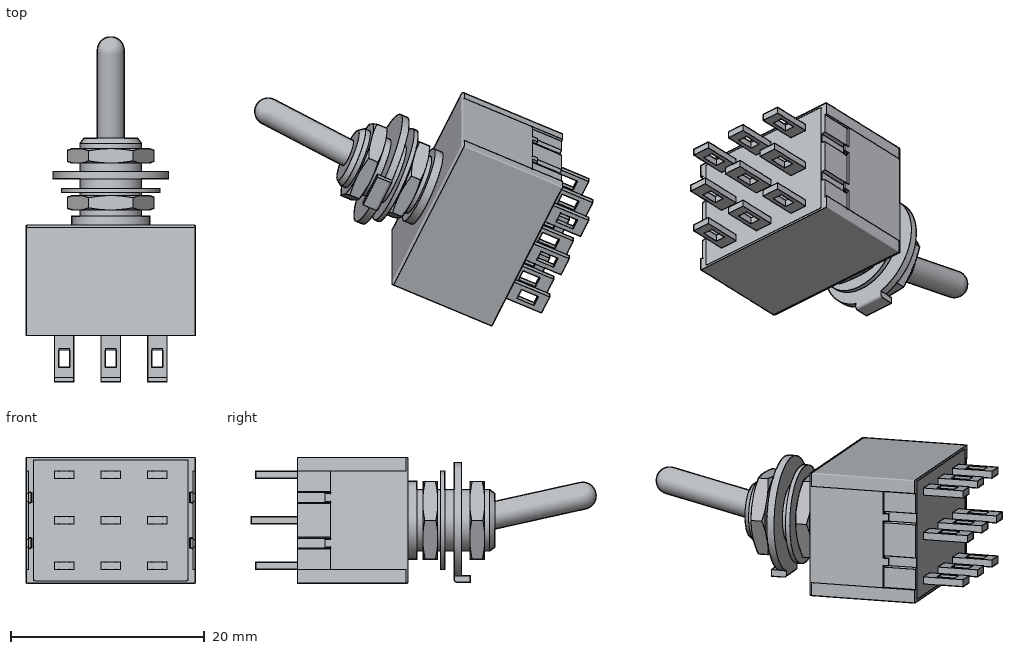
import cadquery as cq
import math


overall_y = 35.65

body_x = 17.5
body_y = 11.45
body_z = 13.0
sheet = 0.25
edge_round = 0.1
housing_y = body_y - sheet

side_wall = 0.75
base_x = body_x - 2 * side_wall
base_z = body_z - 2 * sheet
base_depth = 3.42
base_corner = 0.2
terminal_w = 2.03
terminal_t = 0.75
terminal_pitch_x = 4.8
terminal_pitch_z = 4.7
outer_terminal_len = 4.3
middle_terminal_len = 4.78
eyelet_w = 1.1
eyelet_len = 1.92
outer_eyelet_start = 1.32
middle_eyelet_start = 1.5

leg_z = 10.2
leg_end = 3.42
bend_round = 0.18
finger_w = 0.8
finger_len = 0.57
slot_mouth_w = 1.2
slot_floor_w = 1.0
slot_floor_depth = 0.65
slot_end_round = 0.25
slot_pitch_z = terminal_pitch_z

flange_d = 8.1
flange_t = 0.9
bushing_d = 6.38
bushing_end = 20.4
bushing_tip_d = 5.55
bushing_chamfer_len = 0.55

nut_flats = 8.05
nut_corners = 8.98
nut_face_w = 4.6
nut_t = 1.5
nut_chamfer_d = 8.02
nut_chamfer_angle = 20
nut_starts = (12.97, 17.82)
lock_washer_d = 10.23
lock_washer_t = 0.45
lock_washer_start = 14.75
tab_washer_d = 11.98
tab_washer_t = 0.8
tab_washer_start = 16.18
tab_w = 3.5
tab_t = 0.7
tab_len = 1.68
tab_bottom = 6.4
tab_round = 0.32

lever_d = 2.8
lever_tilt = 12.5
lever_foot_y = 18.0
lever_straight = (
    overall_y - middle_terminal_len - lever_d / 2 - lever_foot_y
) / math.cos(math.radians(lever_tilt))


def block(size_x, y_start, y_end, size_z, x=0, z=0):
    """Box between two Y stations, centred on (x, z)."""
    return (
        cq.Workplane("XY")
        .box(size_x, y_end - y_start, size_z)
        .translate((x, (y_start + y_end) / 2, z))
    )


def disc(diameter, y_start, thickness):
    """Cylinder around the bushing axis, growing toward +Y."""
    return cq.Workplane(cq.Solid.makeCylinder(
        diameter / 2, thickness, cq.Vector(0, y_start, 0), cq.Vector(0, 1, 0)
    ))


def both_sides(shape):
    """A shape on the -X side together with its mirror image on the +X side."""
    return shape.union(shape.mirror("YZ"))


def body_envelope():
    """Outer shape shared by the housing and the frame."""
    return (
        block(body_x, 0, body_y, body_z)
        .edges("|Y").fillet(edge_round)
        .edges("|Z and >Y").fillet(bend_round)
    )


def leg_zone():
    """Sheet-deep strips on both X sides, running the full length of the housing."""
    return both_sides(block(sheet, 0, body_y, leg_z, x=-(body_x - sheet) / 2))


def housing_slot(z):
    """Tapered slot on the -X side, open to the terminal end, rounded under the leg end."""
    mouth_x = sheet - body_x / 2
    floor_x = slot_floor_depth - body_x / 2
    slot = (
        cq.Workplane("XZ")
        .polyline([
            (mouth_x, z - slot_mouth_w / 2),
            (mouth_x, z + slot_mouth_w / 2),
            (floor_x, z + slot_floor_w / 2),
            (floor_x, z - slot_floor_w / 2),
        ])
        .close()
        .extrude(-leg_end)
    )
    rounding = (
        cq.Workplane("XY", origin=(0, 0, z - slot_floor_w / 2))
        .moveTo(mouth_x, leg_end)
        .lineTo(mouth_x, leg_end + slot_end_round)
        .radiusArc((mouth_x + slot_end_round, leg_end), slot_end_round)
        .close()
        .extrude(slot_floor_w)
    )
    return slot.union(rounding)


def base_block():
    return block(base_x, 0, base_depth, base_z).edges("|Y").fillet(base_corner)


def make_housing():
    housing = body_envelope().intersect(block(body_x, 0, housing_y, body_z))
    housing = housing.cut(leg_zone()).cut(base_block())
    for side in (-1, 1):
        housing = housing.cut(both_sides(housing_slot(side * slot_pitch_z / 2)))
    return housing


def terminal(x, z, length, eyelet_start):
    blade = block(terminal_w, -length, 0, terminal_t, x, z)
    eyelet = block(eyelet_w, -eyelet_start - eyelet_len, -eyelet_start, terminal_t, x, z)
    return blade.cut(eyelet)


def make_base():
    base = base_block()
    for row in (-1, 0, 1):
        length = outer_terminal_len if row else middle_terminal_len
        eyelet_start = outer_eyelet_start if row else middle_eyelet_start
        for column in (-1, 0, 1):
            base = base.union(terminal(
                column * terminal_pitch_x, row * terminal_pitch_z, length, eyelet_start
            ))
    return base


def frame_sheet():
    """Plate over the +Y end of the housing with a leg down each X side."""
    plate = block(body_x, housing_y, body_y, body_z)
    legs = leg_zone().intersect(block(body_x, leg_end, body_y, body_z))
    sheet_metal = plate.union(legs)
    for side in (-1, 1):
        finger = block(
            sheet, leg_end - finger_len, leg_end, finger_w,
            x=-(body_x - sheet) / 2, z=side * slot_pitch_z / 2,
        )
        sheet_metal = sheet_metal.union(both_sides(finger))
    return sheet_metal.intersect(body_envelope())


def bushing():
    barrel = disc(bushing_d, body_y, bushing_end - body_y)
    barrel = barrel.faces(">Y").chamfer(bushing_chamfer_len, (bushing_d - bushing_tip_d) / 2)
    return barrel.union(disc(flange_d, body_y, flange_t))


def make_lever():
    """Tilted rod with a hemispherical tip, drawn upright and then laid toward +Y."""
    radius = lever_d / 2
    return (
        cq.Workplane("XY")
        .lineTo(radius, 0)
        .lineTo(radius, lever_straight)
        .radiusArc((0, lever_straight + radius), -radius)
        .close()
        .revolve(360, (0, 0), (0, 1))
        .rotate((0, 0, 0), (1, 0, 0), lever_tilt)
        .translate((0, lever_foot_y, 0))
    )


def make_frame(lever):
    """Sheet frame and bushing in one piece, with a socket that fits the lever."""
    return frame_sheet().union(bushing()).cut(lever)


def make_nut(y_start):
    half_flats = nut_flats / 2
    half_face = nut_face_w / 2
    corner_r = math.hypot(half_flats, half_face)
    face_r = nut_chamfer_d / 2
    drop = (corner_r - face_r) * math.tan(math.radians(nut_chamfer_angle))
    hexagon = (
        cq.Workplane("XZ")
        .polyline([
            (nut_corners / 2, 0), (half_face, half_flats), (-half_face, half_flats),
            (-nut_corners / 2, 0), (-half_face, -half_flats), (half_face, -half_flats),
        ])
        .close()
        .extrude(-nut_t)
    )
    chamfer_limit = (
        cq.Workplane("XY")
        .polyline([
            (0, 0), (face_r, 0), (corner_r, drop),
            (corner_r, nut_t - drop), (face_r, nut_t), (0, nut_t),
        ])
        .close()
        .revolve(360, (0, 0), (0, 1))
    )
    nut = hexagon.intersect(chamfer_limit).translate((0, y_start, 0))
    return nut.cut(disc(bushing_d, y_start, nut_t))


def make_lock_washer():
    washer = disc(lock_washer_d, lock_washer_start, lock_washer_t)
    return washer.cut(disc(bushing_d, lock_washer_start, lock_washer_t))


def make_tab_washer():
    """Flat washer with a locating tab at -Z bent toward the lever end."""
    washer_end = tab_washer_start + tab_washer_t
    tab_top = tab_bottom - tab_t
    washer = disc(tab_washer_d, tab_washer_start, tab_washer_t)
    neck = block(tab_w, tab_washer_start, washer_end, tab_bottom, z=-tab_bottom / 2)
    tab = block(
        tab_w, tab_washer_start, tab_washer_start + tab_len, tab_t, z=-(tab_top + tab_bottom) / 2
    )
    bent_tab = neck.union(tab).edges("|X and <Y and <Z").fillet(tab_round)
    return washer.union(bent_tab).cut(disc(bushing_d, tab_washer_start, tab_washer_t))


lever = make_lever()
frame = make_frame(lever)
housing = make_housing()
base = make_base()
nuts = [make_nut(y_start) for y_start in nut_starts]
lock_washer = make_lock_washer()
tab_washer = make_tab_washer()

bodies = [housing, base, frame, lever, *nuts, lock_washer, tab_washer]
result = cq.Compound.makeCompound([body.solids().val() for body in bodies])